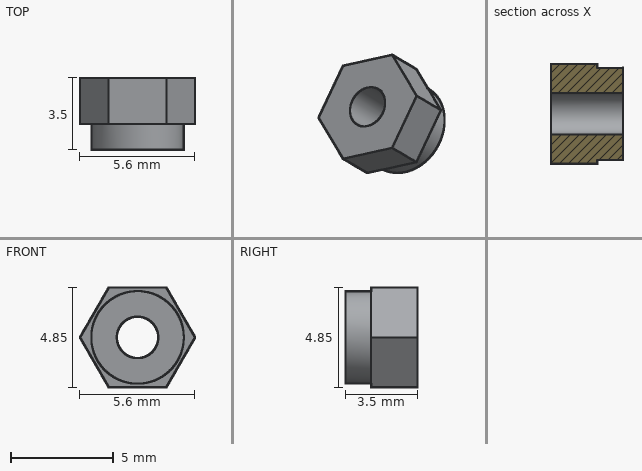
import cadquery as cq
import math

across_flats = 4.85
hex_length = 2.25
collar_diameter = 4.5
collar_length = 1.25
bore_diameter = 2.0

across_corners = across_flats / math.cos(math.pi / 6)
total_length = hex_length + collar_length


def hex_body():
    """Hexagonal body along Y, with corners on the X axis and flats facing +Z and -Z."""
    return cq.Workplane("XZ").polygon(6, across_corners).extrude(hex_length)


def collar():
    """Round collar on the -Y end of the hexagonal body."""
    return (
        cq.Workplane("XZ", origin=(0, -hex_length, 0))
        .circle(collar_diameter / 2)
        .extrude(collar_length)
    )


def bore():
    """Through bore along the full length of the part."""
    return cq.Workplane("XZ").circle(bore_diameter / 2).extrude(total_length)


result = hex_body().union(collar()).cut(bore())